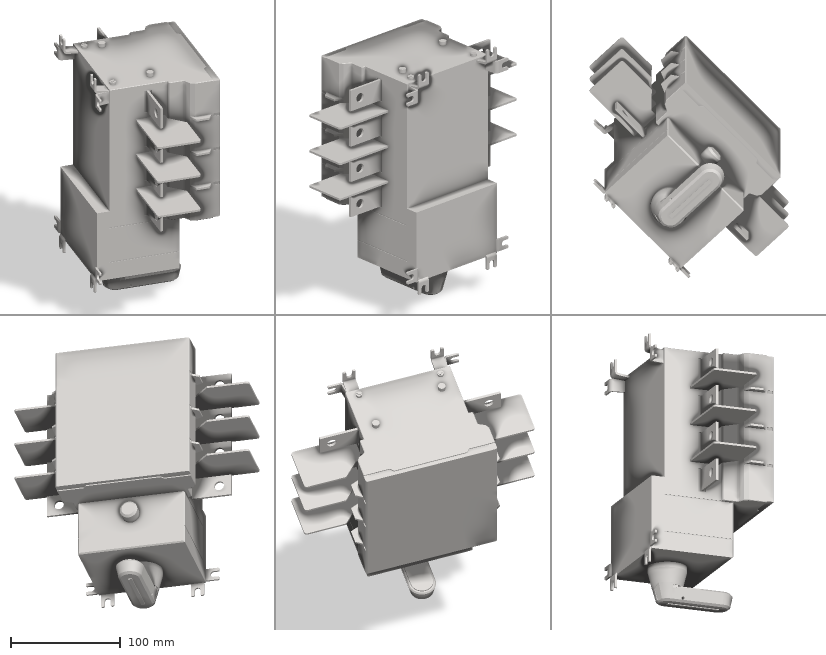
import cadquery as cq
import math


half_width = 50.0
body_top = 193.0
body_bottom = 52.5
body_back = 14.0
body_front = 116.5
edge_chamfer = 1.2
end_chamfer = 0.5

shelf_y = 69.8
neck_half_width = 54.1
neck_top_y = 85.0
head_half_width = 62.8
head_slope_half_width = 60.6
head_slope_y = 87.8
head_straight_y = 91.7
neck_chamfer = 1.0

cover_side_y = 109.3
cover_middle_y = 112.6
cover_middle_half_width = 35.0
cover_slope_width = 3.0
cover_drop = 1.0

box_back = 1.7
box_front = 82.0
box_back_top = 69.3
box_chamfer = 1.2
groove_width = 1.0
groove_depth = 0.5
box_groove_z = 17.3

pole_count = 4
pole_pitch = 35.01
first_pole_z = 70.3
blade_y = 51.3
blade_thickness = 2.5
blade_height = 20.5
blade_reach = 86.5
blade_hole_x = 75.0
blade_hole_diameter = 9.0
blade_flare = 0.7
blade_root = 4.8
slot_width = 7.2
slot_height = blade_height + 2 * blade_flare
slot_depth = 1.0

barrier_thickness = 2.0
barrier_reach = 110.0
barrier_back = 39.2
barrier_front = 81.3
barrier_neck_y = 67.5
barrier_neck_x = 57.0
barrier_shoulder_x = 70.8
barrier_round = 2.5

ear_reach = 69.0
ear_outer_back = 91.2
ear_outer_front = 103.7
ear_back = 87.8
ear_front = 108.0
ear_groove_back = 109.5
ear_groove_front = 115.3
ear_groove_width = 3.0
ear_groove_depth = 0.7

peg_radius = 3.4
peg_height = 4.0
peg_places = [(-35.1, 36.3), (35.0, 58.2)]
screw_x = 39.0
screw_y = 21.0
screw_radius = 3.0
screw_height = 2.5
screw_bar_length = 3.9
screw_bar_width = 2.0
screw_bar_height = 1.0

sheet = 2.0
bracket_width = 12.0
bracket_reach = 12.5
bracket_edge_offset = 8.0
bracket_lean = 1.7
bracket_notch_width = 5.8
bracket_notch_start = 4.3
bracket_tip_round = 1.2
bracket_embed = 0.7
bracket_outer_bend = 3.4
bracket_inner_bend = 1.0
bracket_lean_end = 12.5
top_side_bracket_z = 184.5

button_radius = 8.2
button_z = 34.5
button_front = 94.0
button_chamfer = 2.0

knob_y = 36.8
knob_radius = 18.0
knob_collar = 4.8
knob_waist_z = -18.3
knob_waist_radius = 14.7
knob_tip_z = -34.5
knob_tip_radius = 10.3
knob_chamfer = 2.0
rib_width = 3.5
rib_bottom_z = -35.1
facet_edge_point = (8.2, -12.0, knob_waist_z)
facet_rib_point = (rib_width / 2, -13.2, -22.5)
facet_low_point = (7.2, -8.0, -33.2)

lever_top_z = -21.2
lever_length = 50.0
lever_radius = 13.2
lever_draft = 12.5
lever_top_chamfer = 1.5
lever_hub_length = 5.0
lever_pad_top_z = -20.0
lever_pad_inset = 3.0
pin_hole_diameter = 3.0
pin_hole_offset = 11.0
pin_hole_z = -31.0


def box(x_range, y_range, z_range):
    """Block filling the given ranges."""
    size = [high - low for low, high in (x_range, y_range, z_range)]
    return cq.Workplane("XY").box(*size, centered=False).translate((x_range[0], y_range[0], z_range[0]))


def plate(points, z_low, thickness):
    """Flat plate parallel to XY with the given outline."""
    return cq.Workplane("XY").workplane(offset=z_low).polyline(points).close().extrude(thickness)


def both_sides(solid):
    """The solid together with its mirror image across X = 0."""
    return solid.union(solid.mirror("YZ"))


def mirrored_outline(half):
    """Closed outline from its +X half, listed in order."""
    return half + [(-x, y) for x, y in reversed(half)]


def make_enclosure():
    """Stepped prism with chamfered ends and the front cover set back at both ends."""
    half = [
        (half_width, body_back),
        (half_width, shelf_y),
        (neck_half_width - neck_chamfer, shelf_y),
        (neck_half_width, shelf_y + neck_chamfer),
        (neck_half_width, neck_top_y - neck_chamfer),
        (neck_half_width + neck_chamfer, neck_top_y),
        (head_slope_half_width, head_slope_y),
        (head_half_width, head_straight_y),
        (head_half_width, body_front),
    ]
    height = body_top - body_bottom
    body = plate(mirrored_outline(half), body_bottom, height)
    body = body.faces(">Y").edges("|Z").chamfer(edge_chamfer)
    body = body.faces("<Z or >Z").edges("not <Y").chamfer(end_chamfer)
    cover_half = [
        (head_half_width, body_front),
        (head_half_width, cover_side_y),
        (cover_middle_half_width + cover_slope_width, cover_side_y),
        (cover_middle_half_width, cover_middle_y),
    ]
    for z_low in (body_bottom, body_top - cover_drop):
        body = body.cut(plate(mirrored_outline(cover_half), z_low, cover_drop))
    return body


def make_drive_box():
    """Box below the enclosure, with its thicker back reaching up behind the enclosure."""
    sides = (-half_width, half_width)
    drive = box(sides, (box_back, box_front), (0, body_bottom))
    drive = drive.faces(">Y").edges("|Z or <Z").chamfer(box_chamfer)
    drive = drive.union(box(sides, (box_back, shelf_y), (body_bottom, box_back_top)))
    return drive


def make_box_groove(z):
    """Cutter for the seam along both sides at height z."""
    return both_sides(
        box(
            (half_width - groove_depth, half_width),
            (body_back, box_front),
            (z - groove_width / 2, z + groove_width / 2),
        )
    )


def make_blade_slot(z):
    """Cutter for the recesses around a pair of blades at height z."""
    return both_sides(
        box(
            (half_width - slot_depth, half_width),
            (blade_y - slot_width / 2, blade_y + slot_width / 2),
            (z - slot_height / 2, z + slot_height / 2),
        )
    )


def make_blade(z):
    """Pair of drilled terminal blades at height z, flared where they enter the enclosure."""
    half_height = blade_height / 2
    half_root = half_height + blade_flare
    upper = [
        (half_width - blade_root, half_root),
        (half_width, half_root),
        (half_width + blade_flare, half_height),
        (blade_reach, half_height),
    ]
    outline = upper + [(x, -height) for x, height in reversed(upper)]
    blade = (
        cq.Workplane("XZ")
        .polyline(outline)
        .close()
        .moveTo(blade_hole_x, 0)
        .circle(blade_hole_diameter / 2)
        .extrude(blade_thickness / 2, both=True)
    )
    return both_sides(blade.translate((0, blade_y, z)))


def make_barrier(z):
    """Insulating barrier and the small ear in line with it, at height z."""
    z_low = z - barrier_thickness / 2
    inner = half_width - blade_root
    barrier = plate(
        [
            (inner, barrier_back),
            (barrier_reach, barrier_back),
            (barrier_reach, barrier_front),
            (barrier_shoulder_x, barrier_front),
            (barrier_neck_x, barrier_neck_y),
            (inner, barrier_neck_y),
        ],
        z_low,
        barrier_thickness,
    )
    barrier = barrier.faces(">X").edges("|Z").fillet(barrier_round)
    ear = plate(
        [
            (inner, ear_back),
            (head_slope_half_width, ear_back),
            (ear_reach, ear_outer_back),
            (ear_reach, ear_outer_front),
            (head_half_width, ear_front),
            (inner, ear_front),
        ],
        z_low,
        barrier_thickness,
    )
    return both_sides(barrier.union(ear))


def make_ear_groove(z):
    """Cutter for the short groove in front of each ear."""
    return both_sides(
        box(
            (head_half_width - ear_groove_depth, head_half_width),
            (ear_groove_back, ear_groove_front),
            (z - ear_groove_width / 2, z + ear_groove_width / 2),
        )
    )


def make_screw(x):
    """Round screw head with a raised diagonal bar."""
    turn = math.copysign(45, -x)
    head = cq.Workplane("XY").circle(screw_radius).extrude(screw_height)
    bar = (
        cq.Workplane("XY")
        .rect(screw_bar_length, screw_bar_width)
        .extrude(screw_height + screw_bar_height)
        .rotate((0, 0, 0), (0, 0, 1), turn)
    )
    return head.union(bar).translate((x, screw_y, body_top))


def make_bracket(angle, edge_x, edge_z):
    """Bent sheet tab whose prongs point outward at the given angle from +X, in the XZ plane."""
    leg_end = body_back + bracket_embed
    profile = [
        (-sheet, 0),
        (bracket_reach, 0),
        (bracket_reach, sheet),
        (0, sheet),
        (-bracket_lean, bracket_lean_end),
        (-bracket_lean, leg_end),
        (-bracket_lean - sheet, leg_end),
        (-bracket_lean - sheet, bracket_lean_end),
    ]
    tab = plate(profile, -bracket_width / 2, bracket_width)
    bends = [((-sheet, 0, 0), bracket_outer_bend), ((0, sheet, 0), bracket_inner_bend)]
    for place, radius in bends:
        tab = tab.edges("|Z").edges(cq.NearestToPointSelector(place)).fillet(radius)
    notch_radius = bracket_notch_width / 2
    notch_centre = bracket_notch_start + notch_radius
    notch = (
        cq.Workplane("XZ")
        .moveTo(notch_centre, notch_radius)
        .lineTo(bracket_reach, notch_radius)
        .lineTo(bracket_reach, -notch_radius)
        .lineTo(notch_centre, -notch_radius)
        .threePointArc((bracket_notch_start, 0), (notch_centre, notch_radius))
        .close()
        .extrude(-sheet)
    )
    tab = tab.cut(notch).faces(">X").edges("|Y").fillet(bracket_tip_round)
    return tab.rotate((0, 0, 0), (0, -1, 0), angle).translate((edge_x, 0, edge_z))


def make_brackets():
    """The four brackets on the +X side: two pointing sideways, one up and one down."""
    tab_x = half_width - bracket_edge_offset
    places = [
        (90, tab_x, body_top),
        (-90, tab_x, 0),
        (0, half_width, top_side_bracket_z),
        (0, half_width, bracket_edge_offset),
    ]
    brackets = cq.Workplane("XY")
    for angle, edge_x, edge_z in places:
        brackets = brackets.union(make_bracket(angle, edge_x, edge_z))
    return brackets


def make_button():
    """Round push button on the front of the drive box."""
    button = cq.Workplane("XZ").circle(button_radius).extrude(box_front - button_front)
    return button.faces(">Y").chamfer(button_chamfer).translate((0, box_front, button_z))


def make_knob():
    """Round knob on the Z axis; beside the lever only its -Y half is kept."""
    profile = [
        (0, 0),
        (knob_radius, 0),
        (knob_radius, -knob_collar),
        (knob_waist_radius, knob_waist_z),
        (knob_tip_radius, knob_tip_z),
        (0, knob_tip_z),
    ]
    knob = cq.Workplane("XZ").polyline(profile).close().revolve(360, (0, 0, 0), (0, 1, 0))
    knob = knob.faces("<Z").chamfer(knob_chamfer)
    lever_side = box((-knob_radius, knob_radius), (0, knob_radius), (knob_tip_z, lever_pad_top_z))
    return knob.cut(lever_side)


def make_knob_facet():
    """Cutter for the flat beside the pointer rib, on the +X side."""
    edge_point = cq.Vector(facet_edge_point)
    along = cq.Vector(facet_low_point) - edge_point
    across = cq.Vector(facet_rib_point) - edge_point
    outward = along.cross(across)
    if outward.y > 0:
        outward = outward * -1
    size = 4 * knob_radius
    beyond = cq.Workplane(cq.Plane(edge_point, along, outward)).rect(size, size).extrude(size)
    front_outline = [
        (rib_width / 2, knob_tip_z),
        (facet_rib_point[0], facet_rib_point[2]),
        (facet_edge_point[0], facet_edge_point[2]),
        (knob_radius, knob_waist_z),
        (knob_radius, knob_tip_z),
    ]
    limits = cq.Workplane("XZ").polyline(front_outline).close().extrude(knob_radius)
    return beyond.intersect(limits)


def lever_slot(radius, z):
    """Workplane at height z holding the rounded outline that runs from the knob axis along +Y."""
    plane = cq.Workplane("XY").workplane(offset=z).center(0, lever_length / 2)
    return plane.slot2D(lever_length + 2 * radius, 2 * radius, 90)


def make_lever():
    """Tapered lever with a raised pad on top, starting at the knob axis."""
    lever = lever_slot(lever_radius, lever_top_z).extrude(knob_tip_z - lever_top_z, taper=lever_draft)
    lever = lever.faces("<Z").chamfer(knob_chamfer).faces(">Z").chamfer(lever_top_chamfer)
    pad = lever_slot(lever_radius - lever_pad_inset, lever_top_z).extrude(lever_pad_top_z - lever_top_z)
    hub_bottom = lever_top_z - lever_top_chamfer
    hub = box((-lever_radius, lever_radius), (0, lever_hub_length), (hub_bottom, lever_pad_top_z))
    lever_end = box((-knob_radius, knob_radius), (-knob_radius, 0), (knob_tip_z, knob_waist_z))
    return lever.union(pad).union(hub).cut(lever_end)


def make_handle():
    """Knob, lever and pointer rib, built around the Z axis and then moved to the shaft."""
    rib = box((-rib_width / 2, rib_width / 2), (0, lever_length), (rib_bottom_z, lever_top_z))
    pin_hole = (
        cq.Workplane("YZ")
        .center(pin_hole_offset, pin_hole_z)
        .circle(pin_hole_diameter / 2)
        .extrude(knob_radius, both=True)
    )
    knob = make_knob().cut(both_sides(make_knob_facet()))
    return knob.union(make_lever()).union(rib).cut(pin_hole).translate((0, knob_y, 0))


result = make_enclosure().union(make_drive_box())
for seam_z in (box_groove_z, body_bottom):
    result = result.cut(make_box_groove(seam_z))
for pole in range(pole_count):
    pole_z = first_pole_z + pole * pole_pitch
    result = result.cut(make_blade_slot(pole_z)).union(make_blade(pole_z))
for gap in range(pole_count - 1):
    gap_z = first_pole_z + (gap + 0.5) * pole_pitch
    result = result.cut(make_ear_groove(gap_z)).union(make_barrier(gap_z))
for x, y in peg_places:
    peg = cq.Workplane("XY").circle(peg_radius).extrude(peg_height)
    result = result.union(peg.translate((x, y, body_top)))
for x in (-screw_x, screw_x):
    result = result.union(make_screw(x))
result = result.union(both_sides(make_brackets())).union(make_button()).union(make_handle())